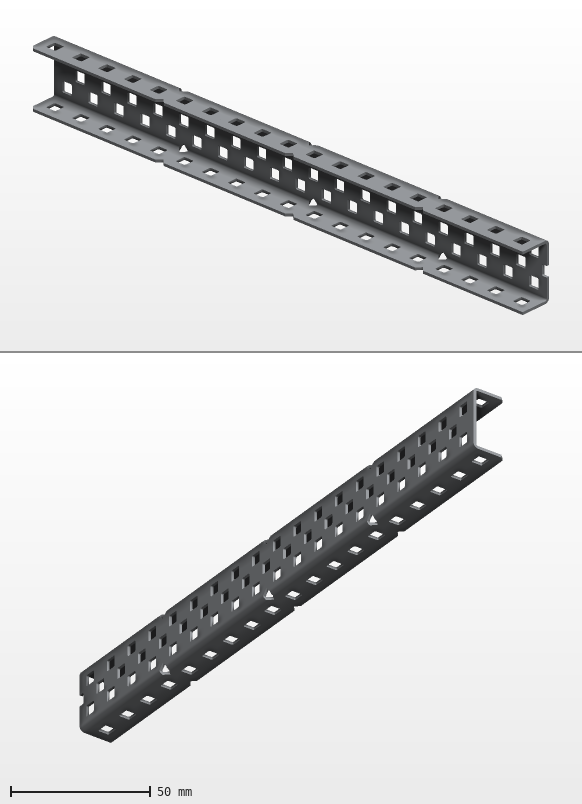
import cadquery as cq
import math

PITCH = 12.7
PITCH_COUNT = 19
LENGTH = PITCH * PITCH_COUNT
HEIGHT = 2 * PITCH
DEPTH = 13.87
THICKNESS = 1.168
INNER_BEND_RADIUS = 0.8
BEND_RADIUS = INNER_BEND_RADIUS + THICKNESS

HOLE_SIZE = 4.623
HOLE_CORNER_RADIUS = 0.508
FLANGE_HOLE_FROM_LIP = PITCH / 2
WEB_ROW_OFFSET = PITCH / 2

NOTCH_SPACING = 5 * PITCH
LIP_NOTCH_DEPTH = 2.03
END_CORNER_BEVEL = 1.6
BEND_NOTCH_REACH = 3.45
BEND_NOTCH_HALF_WIDTH = LIP_NOTCH_DEPTH

FRONT_Y = -DEPTH / 2
BACK_Y = DEPTH / 2
TOP_Z = HEIGHT / 2


def make_channel():
    """U-shaped sheet, open toward -Y, running along X from 0 to LENGTH."""
    outer = (
        cq.Workplane("XY")
        .box(LENGTH, DEPTH, HEIGHT)
        .edges("|X and >Y")
        .fillet(BEND_RADIUS)
    )
    inner = (
        cq.Workplane("XY")
        .box(LENGTH, DEPTH, HEIGHT - 2 * THICKNESS)
        .edges("|X and >Y")
        .fillet(INNER_BEND_RADIUS)
        .translate((0, -THICKNESS, 0))
    )
    return outer.cut(inner).translate((LENGTH / 2, 0, 0))


def square_holes(plane, centers, reach):
    """Square punches with rounded corners, reaching both ways from the plane."""
    punches = (
        cq.Workplane(plane)
        .pushPoints(centers)
        .rect(HOLE_SIZE, HOLE_SIZE)
        .extrude(reach, both=True)
    )
    corner_direction = "|Z" if plane == "XY" else "|Y"
    return punches.edges(corner_direction).fillet(HOLE_CORNER_RADIUS)


def make_flange_holes():
    """One row of holes through both flanges, midway between pitch lines."""
    hole_y = FRONT_Y + FLANGE_HOLE_FROM_LIP
    centers = [((i + 0.5) * PITCH, hole_y) for i in range(PITCH_COUNT)]
    return square_holes("XY", centers, HEIGHT)


def make_web_holes():
    """Two outer rows midway between pitch lines and a middle row on them.

    The last hole of the middle row is halved by the +X end.
    """
    outer_rows = [
        ((i + 0.5) * PITCH, z)
        for i in range(PITCH_COUNT)
        for z in (-WEB_ROW_OFFSET, WEB_ROW_OFFSET)
    ]
    middle_row = [((i + 1) * PITCH, 0) for i in range(PITCH_COUNT)]
    return square_holes("XZ", outer_rows + middle_row, DEPTH)


def make_lip_notch(x, depth):
    """45 degree V notch across the lips of both flanges."""
    return (
        cq.Workplane("XY")
        .polyline([
            (x - depth, FRONT_Y),
            (x, FRONT_Y + depth),
            (x + depth, FRONT_Y),
        ])
        .close()
        .extrude(HEIGHT, both=True)
    )


def make_bend_notch(x):
    """Pointed notch folded over the top bend, half in the flange and half in the web."""
    tip_y = BACK_Y - BEND_NOTCH_REACH
    shoulder_y = tip_y + BEND_NOTCH_HALF_WIDTH
    flange_outline = (
        cq.Workplane("XY")
        .polyline([
            (x, tip_y),
            (x + BEND_NOTCH_HALF_WIDTH, shoulder_y),
            (x + BEND_NOTCH_HALF_WIDTH, BACK_Y),
            (x - BEND_NOTCH_HALF_WIDTH, BACK_Y),
            (x - BEND_NOTCH_HALF_WIDTH, shoulder_y),
        ])
        .close()
        .extrude(HEIGHT)
    )
    flange_side = (
        cq.Workplane("YZ")
        .polyline([
            (BACK_Y, TOP_Z),
            (BACK_Y - BEND_RADIUS, TOP_Z - BEND_RADIUS),
            (tip_y, TOP_Z - BEND_RADIUS),
            (tip_y, TOP_Z),
        ])
        .close()
        .extrude(LENGTH)
    )
    flange_half = flange_outline.intersect(flange_side)
    corner = (x, BACK_Y, TOP_Z)
    along_bisector = (x, BACK_Y + 1, TOP_Z + 1)
    web_half = flange_half.rotate(corner, along_bisector, 180)
    return flange_half.union(web_half)


result = make_channel().cut(make_flange_holes()).cut(make_web_holes())

result = result.cut(make_lip_notch(0, END_CORNER_BEVEL))

notch_count = math.floor(LENGTH / NOTCH_SPACING)
for i in range(1, notch_count + 1):
    notch_x = i * NOTCH_SPACING
    top_notch = make_bend_notch(notch_x)
    bottom_notch = top_notch.mirror("XY")
    result = result.cut(make_lip_notch(notch_x, LIP_NOTCH_DEPTH))
    result = result.cut(top_notch).cut(bottom_notch)